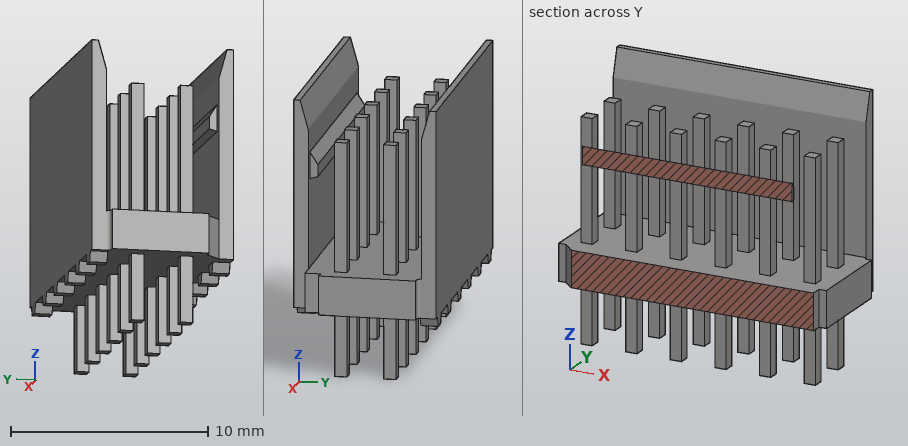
import cadquery as cq

PITCH = 2.54
COLUMNS = 6
PIN_SIDE = 0.64
PIN_LENGTH = 12.27
PIN_TAIL = 3.43

BASE_LENGTH = 15.24
BASE_HEIGHT = 2.05
EAR_REAR_Y = 2.8
EAR_FRONT_Y = -2.22
EAR_FILLET = 0.2

OVERALL_DEPTH = 7.54
OVERALL_HEIGHT = 14.3
WALL_THICKNESS = 0.765
WALL_TIP_THICKNESS = 0.34
WALL_TAPER_HEIGHT = 1.52
REAR_WALL_LENGTH = 14.4
FRONT_WALL_LENGTH = 12.76

RIDGE_LENGTH = 11.94
RIDGE_DEPTH = 0.41
RIDGE_DROP = 2.79
RIDGE_LEAD_HEIGHT = 0.64
RIDGE_FACE_HEIGHT = 0.63
RIDGE_UNDERCUT_HEIGHT = 0.12

FOOT_TOP_WIDTH = 1.0
FOOT_BOTTOM_WIDTH = 0.6
FOOT_HEIGHT = 0.53
FOOT_DEPTH = 0.9

WALL_TOP = OVERALL_HEIGHT - PIN_TAIL
OUTER_Y = OVERALL_DEPTH / 2
INNER_Y = OUTER_Y - WALL_THICKNESS


def row_positions(count):
    """X positions of a centred row at the pin pitch."""
    return [(i - (count - 1) / 2) * PITCH for i in range(count)]


def make_base():
    """Base plate with end ears and one bevelled corner at -X, -Y."""
    ear_x = BASE_LENGTH / 2
    body_x = REAR_WALL_LENGTH / 2
    bevel_x = FRONT_WALL_LENGTH / 2
    outline = [
        (-body_x, OUTER_Y),
        (body_x, OUTER_Y),
        (body_x, EAR_REAR_Y),
        (ear_x, EAR_REAR_Y),
        (ear_x, EAR_FRONT_Y),
        (body_x, EAR_FRONT_Y),
        (body_x, -INNER_Y),
        (-bevel_x, -INNER_Y),
        (-body_x, EAR_FRONT_Y),
        (-ear_x, EAR_FRONT_Y),
        (-ear_x, EAR_REAR_Y),
        (-body_x, EAR_REAR_Y),
    ]
    base = cq.Workplane("XY").polyline(outline).close().extrude(BASE_HEIGHT)
    rear_inside_corners = cq.selectors.BoxSelector(
        (-body_x - EAR_FILLET, EAR_REAR_Y - EAR_FILLET, 0),
        (body_x + EAR_FILLET, EAR_REAR_Y + EAR_FILLET, BASE_HEIGHT),
    )
    corner_edges = base.edges("|Z").edges(rear_inside_corners)
    return corner_edges.fillet(EAR_FILLET)


def extrude_along_x(profile, length):
    """Extrude a (Y, Z) profile symmetrically about X = 0."""
    return cq.Workplane("YZ").polyline(profile).close().extrude(length / 2, both=True)


def make_wall(side, length):
    """Upright wall tapering on its inner face; side is +1 (rear) or -1 (front)."""
    profile = [
        (side * OUTER_Y, 0),
        (side * OUTER_Y, WALL_TOP),
        (side * (OUTER_Y - WALL_TIP_THICKNESS), WALL_TOP),
        (side * INNER_Y, WALL_TOP - WALL_TAPER_HEIGHT),
        (side * INNER_Y, 0),
    ]
    return extrude_along_x(profile, length)


def make_ridge():
    """Latching ridge with a long lead-in above and a short undercut below."""
    top = WALL_TOP - RIDGE_DROP
    face_top = top - RIDGE_LEAD_HEIGHT
    face_bottom = face_top - RIDGE_FACE_HEIGHT
    bottom = face_bottom - RIDGE_UNDERCUT_HEIGHT
    root_y = -INNER_Y - WALL_THICKNESS / 2
    profile = [
        (root_y, top),
        (-INNER_Y, top),
        (-INNER_Y + RIDGE_DEPTH, face_top),
        (-INNER_Y + RIDGE_DEPTH, face_bottom),
        (-INNER_Y, bottom),
        (root_y, bottom),
    ]
    return extrude_along_x(profile, RIDGE_LENGTH)


def make_foot(x, side):
    """Trapezoidal standoff under a wall, flush with the wall's outer face."""
    profile = [
        (x - FOOT_TOP_WIDTH / 2, 0),
        (x + FOOT_TOP_WIDTH / 2, 0),
        (x + FOOT_BOTTOM_WIDTH / 2, -FOOT_HEIGHT),
        (x - FOOT_BOTTOM_WIDTH / 2, -FOOT_HEIGHT),
    ]
    centre_y = side * (OUTER_Y - FOOT_DEPTH / 2)
    plane = cq.Workplane("XZ", origin=(0, centre_y, 0))
    return plane.polyline(profile).close().extrude(FOOT_DEPTH / 2, both=True)


def make_pin(x, y):
    """Square pin running through the base."""
    plane = cq.Workplane("XY", origin=(x, y, -PIN_TAIL))
    return plane.rect(PIN_SIDE, PIN_SIDE).extrude(PIN_LENGTH)


result = make_base()
result = result.union(make_wall(1, REAR_WALL_LENGTH))
result = result.union(make_wall(-1, FRONT_WALL_LENGTH))
result = result.union(make_ridge())

for foot_x in row_positions(COLUMNS):
    result = result.union(make_foot(foot_x, 1))
for foot_x in row_positions(COLUMNS - 1):
    result = result.union(make_foot(foot_x, -1))

for pin_y in (-PITCH / 2, PITCH / 2):
    for pin_x in row_positions(COLUMNS):
        result = result.union(make_pin(pin_x, pin_y))